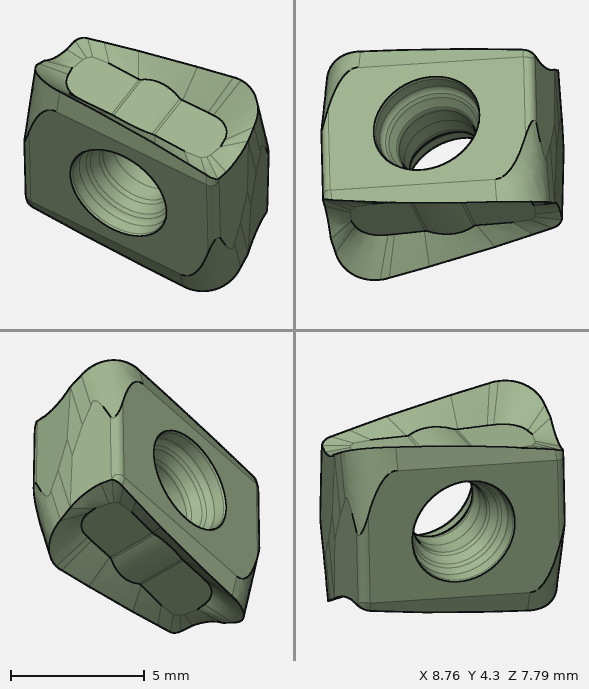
import cadquery as cq
import math


length = 8.76
half_length = length / 2
thickness = 4.3
half_thickness = thickness / 2
reach = 7.01

clearance_angle = 15.0
nose_start = (-2.645, -2.95)
nose_end = (-4.31, -1.4)
nose_bulge = 0.48
facet_break = (-4.345, -0.81)
flank_slope = 0.029
heel_radius = 0.43
heel_x = 4.15
flare_rise = 1.75

side_x = 4.41
side_taper = 0.13
side_lean = 0.021
side_fillet = 0.37

floor_z = 2.65
overshoot = 1.2
ridge_half_width = 0.96
ridge_height = 0.15
ridge_blend_radius = 0.315

mouth = (2.06, 0.0)
mouth_relief = (2.02, 0.105)
bowl_start = (1.98, 0.525)
bowl_middle = (1.93, 0.67)
bowl_end = (1.83, 0.79)
cone_break = (1.735, 0.93)
cone_end = (1.54, 1.28)
throat_blend = (1.51, 1.375)
throat = (1.5, 1.48)

x_axis = (1, 0, 0)
z_axis = (0, 0, 1)


def turned(solid, axis):
    """Half turn of a solid about an axis through the origin."""
    return solid.rotate((0, 0, 0), axis, 180)


def tilted_prism(outline, lean_x, lean_y):
    """Sweep an outline drawn at Z = 0 along a leaning axis, through the whole height."""
    bottom = outline.val().translate(cq.Vector(-lean_x * reach, -lean_y * reach, -reach))
    travel = cq.Vector(2 * lean_x * reach, 2 * lean_y * reach, 2 * reach)
    return cq.Workplane(cq.Solid.extrudeLinear(bottom, [], travel))


def mirrored(point):
    """Reflect a point of the prism outline across the tilted axis."""
    return (point[0], -point[1])


def clearance_prism():
    """Long flanks, big corners and short edge facets that share one tilted axis."""
    chord_x = nose_end[0] - nose_start[0]
    chord_y = nose_end[1] - nose_start[1]
    chord = math.hypot(chord_x, chord_y)
    nose_middle = (
        (nose_start[0] + nose_end[0]) / 2 - nose_bulge * chord_y / chord,
        (nose_start[1] + nose_end[1]) / 2 + nose_bulge * chord_x / chord,
    )
    heel_centre_x = heel_x - heel_radius
    heel_start_y = nose_start[1] + flank_slope * (heel_centre_x - nose_start[0])
    heel_centre_y = heel_start_y + heel_radius
    diagonal = heel_radius * math.sqrt(0.5)
    heel_middle = (heel_centre_x + diagonal, heel_centre_y - diagonal)
    flare = (reach, heel_centre_y + flare_rise)
    outline = (
        cq.Workplane("XY")
        .moveTo(-half_length, 0)
        .lineTo(*facet_break)
        .lineTo(*nose_end)
        .threePointArc(nose_middle, nose_start)
        .lineTo(heel_centre_x, heel_start_y)
        .threePointArc(heel_middle, (heel_x, heel_centre_y))
        .lineTo(*flare)
        .lineTo(*mirrored(flare))
        .lineTo(heel_x, -heel_centre_y)
        .threePointArc(mirrored(heel_middle), (heel_centre_x, -heel_start_y))
        .lineTo(*mirrored(nose_start))
        .threePointArc(mirrored(nose_middle), mirrored(nose_end))
        .lineTo(*mirrored(facet_break))
        .close()
    )
    return tilted_prism(outline, 0, math.tan(math.radians(clearance_angle)))


def side_wedge():
    """Front clamping face with its two side walls, rounded where they meet."""
    front_x = side_x - side_taper * half_thickness
    back_x = side_x + side_taper * reach
    outline = cq.Workplane("XY").polyline([
        (-front_x, -half_thickness),
        (front_x, -half_thickness),
        (back_x, reach),
        (-back_x, reach),
    ]).close()
    return tilted_prism(outline, -side_lean, 0).faces("<Y").edges("not |X").fillet(side_fillet)


def edge_through(points):
    """Straight edge through two points, arc through three."""
    vectors = [cq.Vector(*point) for point in points]
    if len(vectors) == 2:
        return cq.Edge.makeLine(*vectors)
    return cq.Edge.makeThreePointArc(*vectors)


half_pocket = [
    ([(-1.08, -1.92, 3.61), (1.45, -1.95, 3.16)], [(-0.99, -0.97), (1.0, -1.14)]),
    ([(1.45, -1.95, 3.16), (2.94, -2.015, 2.86)], [(1.0, -1.14), (2.35, -1.32)]),
    ([(2.94, -2.015, 2.86), (3.65, -2.02, 2.7)], [(2.35, -1.32), (3.06, -1.32)]),
    ([(3.65, -2.02, 2.7), (3.93, -1.98, 2.59), (4.065, -1.84, 2.505)], [(3.06, -1.32), (3.23, -1.17)]),
    ([(4.065, -1.84, 2.505), (4.16, -1.36, 2.46)], [(3.23, -1.17), (3.3, -1.02)]),
    ([(4.16, -1.36, 2.46), (4.25, -0.7, 2.59), (4.32, 0.0, 2.99)], [(3.3, -1.02), (3.425, -0.44)]),
    ([(4.32, 0.0, 2.99), (4.31, 0.52, 3.29)], [(3.425, -0.44), (3.38, -0.08)]),
    ([(4.31, 0.52, 3.29), (3.86, 1.38, 3.72), (2.96, 1.87, 3.86)],
     [(3.38, -0.08), (3.06, 0.56), (2.37, 0.84)]),
    ([(2.96, 1.87, 3.86), (2.63, 1.91, 3.85)], [(2.37, 0.84), (2.13, 0.88)]),
    ([(2.63, 1.91, 3.85), (1.08, 1.92, 3.61)], [(2.13, 0.88), (0.99, 0.97)]),
]


def pocket_cutter():
    """Everything above the top floor, its ridge and the rake walls around it."""
    rake_faces = []
    floor_edges = []
    rim_edges = []
    for edge_points, floor_points in half_pocket:
        floor_points = [(x, y, floor_z) for x, y in floor_points]
        floor_ends = floor_points
        if len(edge_points) == 3 and len(floor_points) == 2:
            middle = tuple((a + b) / 2 for a, b in zip(*floor_points))
            floor_ends = [floor_points[0], middle, floor_points[1]]
        rim_points = [
            tuple(f + overshoot * (e - f) for e, f in zip(edge_point, floor_end))
            for edge_point, floor_end in zip(edge_points, floor_ends)
        ]
        for turn in (1, -1):
            floor_edge = edge_through([(turn * x, turn * y, z) for x, y, z in floor_points])
            rim_edge = edge_through([(turn * x, turn * y, z) for x, y, z in rim_points])
            rake_faces.append(cq.Face.makeRuledSurface(floor_edge, rim_edge))
            floor_edges.append(floor_edge)
            rim_edges.append(rim_edge)
    floor = cq.Face.makeFromWires(cq.Wire.assembleEdges(floor_edges))
    lid_edges = []
    walls = []
    for rim_edge in rim_edges:
        lid_points = [(v.x, v.y, reach) for v in (rim_edge.startPoint(), rim_edge.endPoint())]
        lid_edge = edge_through(lid_points)
        lid_edges.append(lid_edge)
        walls.append(cq.Face.makeRuledSurface(rim_edge, lid_edge))
    lid = cq.Face.makeFromWires(cq.Wire.assembleEdges(lid_edges))
    shell = cq.Shell.makeShell([floor, lid] + rake_faces + walls)
    return cq.Workplane(cq.Solid.makeSolid(shell)).cut(ridge())


def ridge():
    """Low rounded ridge along Y that crosses the pocket floor."""
    both_radii = (ridge_half_width**2 + ridge_height**2) / (2 * ridge_height)
    turn = math.asin(ridge_half_width / both_radii)
    crest_z = floor_z + ridge_height
    blend_x = ridge_half_width - ridge_blend_radius * math.sin(turn)
    blend_z = floor_z + ridge_blend_radius * (1 - math.cos(turn))
    half_angle = turn / 2
    mid_x = ridge_half_width - ridge_blend_radius * math.sin(half_angle)
    mid_z = floor_z + ridge_blend_radius * (1 - math.cos(half_angle))
    return (
        cq.Workplane("XZ")
        .moveTo(-ridge_half_width, floor_z)
        .threePointArc((-mid_x, mid_z), (-blend_x, blend_z))
        .threePointArc((0, crest_z), (blend_x, blend_z))
        .threePointArc((mid_x, mid_z), (ridge_half_width, floor_z))
        .lineTo(ridge_half_width, 0)
        .lineTo(-ridge_half_width, 0)
        .close()
        .extrude(reach, both=True)
    )


def screw_hole():
    """Waisted hole along Y with the same rounded countersink at both ends."""
    half = (
        cq.Workplane("XY", origin=(0, -half_thickness, 0))
        .lineTo(*mouth)
        .lineTo(*mouth_relief)
        .lineTo(*bowl_start)
        .threePointArc(bowl_middle, bowl_end)
        .lineTo(*cone_break)
        .lineTo(*cone_end)
        .threePointArc(throat_blend, throat)
        .lineTo(throat[0], half_thickness)
        .lineTo(0, half_thickness)
        .close()
        .revolve(360, (0, 0, 0), (0, 1, 0))
    )
    return half.union(turned(half, z_axis))


prism = clearance_prism()
wedge = side_wedge()
body = prism.intersect(turned(prism, z_axis)).intersect(wedge).intersect(turned(wedge, z_axis))
pocket = pocket_cutter()
body = body.cut(pocket).cut(turned(pocket, x_axis))
result = body.cut(screw_hole())